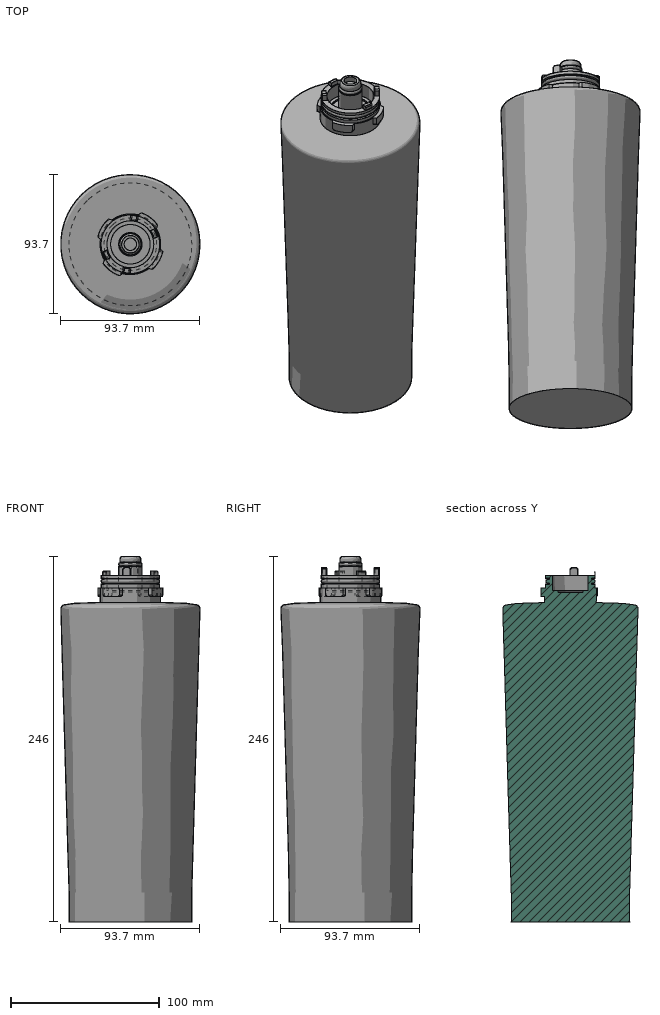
import cadquery as cq
import math

HEIGHT = 246.0
BODY_RADIUS = 93.7 / 2
BASE_RADIUS = 41.3
BASE_HEIGHT = 19.7
TAPER_TOP_Z = 210.5
RIM_RADIUS = 44.0
RIM_Z = 213.5
CROWN_RADIUS = 37.5
CROWN_Z = 214.5
DECK_RADIUS = 22.6
DECK_Z = 215.0

COLLAR_BASE_RADIUS = 20.5
COLLAR_STEP_Z = 224.8
COLLAR_RADIUS = 19.7
COLLAR_TOP_Z = 233.2
COLLAR_BORE_RADIUS = 15.7
COLLAR_LEDGE_Z = 223.0
WELL_RADIUS = 13.3
WELL_FLOOR_Z = 221.8

STEM_RADIUS = 7.9
STEM_SHOULDER_Z = 239.0
NECK_RADIUS = 7.1
NECK_TOP_RADIUS = 6.0
NECK_ROUND_Z = 243.5
STEM_BORE_RADIUS = 4.2
STEM_BORE_DEPTH = 3.7

COLLAR_SEAL_Z = 229.2
COLLAR_SEAL_SECTION = 1.5
COLLAR_GROOVE_HEIGHT = 4.0
COLLAR_GROOVE_DEPTH = 2.0
STEM_SEAL_Z = 240.5
STEM_SEAL_SECTION = 1.2
STEM_GROOVE_HEIGHT = 2 * (STEM_SEAL_Z - STEM_SHOULDER_Z)
STEM_GROOVE_DEPTH = 1.5

LUG_RADIUS = 22.5
LUG_BOTTOM_Z = 219.0
LUG_ANGLES = (53, 149, 233, 329)
LUG_OUTER_HALF_ANGLE = 18
LUG_INNER_HALF_ANGLE = 22
LUG_CORNER_CHAMFER = 1.0

TAB_INNER_RADIUS = 16.5
TAB_OUTER_RADIUS = 19.5
TALL_TAB_TOP_Z = 238.3
TALL_TAB_WIDTH = 5.2
TALL_TAB_ANGLE = 82
TALL_TAB_CHAMFER = 1.0
SHORT_TAB_TOP_Z = 236.0
SHORT_TAB_WIDTH = 5.7
SHORT_TAB_ANGLE = 24
SHORT_TAB_CHAMFER = 0.7

OVERLAP = 1.2


def polar(radius, angle):
    return (radius * math.cos(math.radians(angle)), radius * math.sin(math.radians(angle)))


def cylinder(radius, bottom, top):
    return cq.Workplane("XY").workplane(offset=bottom).circle(radius).extrude(top - bottom)


def ring(inner_radius, outer_radius, bottom, top):
    return cylinder(outer_radius, bottom, top).cut(cylinder(inner_radius, bottom, top))


def housing():
    shoulder_bulge = math.sqrt(0.5)
    shoulder_mid = (
        RIM_RADIUS + (BODY_RADIUS - RIM_RADIUS) * shoulder_bulge,
        TAPER_TOP_Z + (RIM_Z - TAPER_TOP_Z) * shoulder_bulge,
    )
    profile = (
        cq.Workplane("XZ")
        .lineTo(BASE_RADIUS, 0)
        .lineTo(BASE_RADIUS, BASE_HEIGHT)
        .lineTo(BODY_RADIUS, TAPER_TOP_Z)
        .threePointArc(shoulder_mid, (RIM_RADIUS, RIM_Z))
        .lineTo(CROWN_RADIUS, CROWN_Z)
        .lineTo(DECK_RADIUS, DECK_Z)
        .lineTo(0, DECK_Z)
        .close()
    )
    return profile.revolve(360, (0, 0, 0), (0, 1, 0))


def collar():
    lower = cylinder(COLLAR_BASE_RADIUS, DECK_Z - OVERLAP, COLLAR_STEP_Z)
    upper = cylinder(COLLAR_RADIUS, COLLAR_STEP_Z, COLLAR_TOP_Z)
    bore = cylinder(COLLAR_BORE_RADIUS, COLLAR_LEDGE_Z, COLLAR_TOP_Z)
    well = cylinder(WELL_RADIUS, WELL_FLOOR_Z, COLLAR_LEDGE_Z)
    return lower.union(upper).cut(bore).cut(well)


def stem():
    trunk = cylinder(STEM_RADIUS, WELL_FLOOR_Z - OVERLAP, STEM_SHOULDER_Z)
    tip_height = HEIGHT - NECK_ROUND_Z
    tip_inset = NECK_RADIUS - NECK_TOP_RADIUS
    tip_arc_radius = (tip_height**2 + tip_inset**2) / (2 * tip_inset)
    tip_half_angle = math.asin(tip_height / tip_arc_radius) / 2
    tip_mid = (
        NECK_RADIUS - tip_arc_radius * (1 - math.cos(tip_half_angle)),
        NECK_ROUND_Z + tip_arc_radius * math.sin(tip_half_angle),
    )
    neck = (
        cq.Workplane("XZ")
        .moveTo(0, STEM_SHOULDER_Z)
        .lineTo(NECK_RADIUS, STEM_SHOULDER_Z)
        .lineTo(NECK_RADIUS, NECK_ROUND_Z)
        .threePointArc(tip_mid, (NECK_TOP_RADIUS, HEIGHT))
        .lineTo(0, HEIGHT)
        .close()
        .revolve(360, (0, 0, 0), (0, 1, 0))
    )
    bore = cylinder(STEM_BORE_RADIUS, HEIGHT - STEM_BORE_DEPTH, HEIGHT)
    return trunk.union(neck).cut(bore)


def add_seal(part, outer_radius, wall_radius, z, section, groove_height, groove_depth):
    """Cut a groove into a cylindrical wall and lay a round-section ring in it."""
    groove = ring(
        wall_radius - groove_depth, outer_radius + OVERLAP, z - groove_height / 2, z + groove_height / 2
    )
    center_radius = outer_radius - section
    seal = (
        cq.Workplane("XZ")
        .center(center_radius, z)
        .circle(section)
        .revolve(360, (-center_radius, 0, 0), (-center_radius, 1, 0))
    )
    return part.cut(groove).union(seal)


def lug(angle):
    root_radius = COLLAR_BASE_RADIUS - OVERLAP
    inner_start = angle - LUG_INNER_HALF_ANGLE
    inner_end = angle + LUG_INNER_HALF_ANGLE
    outer_start = angle - LUG_OUTER_HALF_ANGLE
    outer_end = angle + LUG_OUTER_HALF_ANGLE
    return (
        cq.Workplane("XY")
        .workplane(offset=LUG_BOTTOM_Z)
        .moveTo(*polar(root_radius, inner_start))
        .lineTo(*polar(COLLAR_BASE_RADIUS, inner_start))
        .lineTo(*polar(LUG_RADIUS, outer_start))
        .threePointArc(polar(LUG_RADIUS, angle), polar(LUG_RADIUS, outer_end))
        .lineTo(*polar(COLLAR_BASE_RADIUS, inner_end))
        .lineTo(*polar(root_radius, inner_end))
        .threePointArc(polar(root_radius, angle), polar(root_radius, inner_start))
        .close()
        .extrude(COLLAR_STEP_Z - LUG_BOTTOM_Z)
        .faces("<Z")
        .edges("%LINE")
        .chamfer(LUG_CORNER_CHAMFER)
    )


def tab(angle, width, top):
    """Curved tab standing on the collar rim, centred on the given angle."""
    bottom = COLLAR_TOP_Z - OVERLAP
    block = (
        cq.Workplane("XY")
        .workplane(offset=bottom)
        .center(COLLAR_RADIUS / 2, 0)
        .rect(COLLAR_RADIUS, width)
        .extrude(top - bottom)
        .rotate((0, 0, 0), (0, 0, 1), angle)
    )
    wall = ring(TAB_INNER_RADIUS, TAB_OUTER_RADIUS, bottom, top)
    return block.intersect(wall)


result = housing().union(collar()).union(stem())
for lug_angle in LUG_ANGLES:
    result = result.union(lug(lug_angle))
for half_turn in (0, 180):
    tall_tab = tab(TALL_TAB_ANGLE + half_turn, TALL_TAB_WIDTH, TALL_TAB_TOP_Z)
    tall_tab = tall_tab.faces(">Z").edges("%LINE").chamfer(TALL_TAB_CHAMFER)
    short_tab = tab(SHORT_TAB_ANGLE + half_turn, SHORT_TAB_WIDTH, SHORT_TAB_TOP_Z)
    short_tab = short_tab.faces(">Z").edges(cq.selectors.RadiusNthSelector(-1)).chamfer(SHORT_TAB_CHAMFER)
    result = result.union(tall_tab).union(short_tab)
result = add_seal(
    result, COLLAR_RADIUS, COLLAR_RADIUS, COLLAR_SEAL_Z,
    COLLAR_SEAL_SECTION, COLLAR_GROOVE_HEIGHT, COLLAR_GROOVE_DEPTH,
)
result = add_seal(
    result, STEM_RADIUS, NECK_RADIUS, STEM_SEAL_Z,
    STEM_SEAL_SECTION, STEM_GROOVE_HEIGHT, STEM_GROOVE_DEPTH,
)